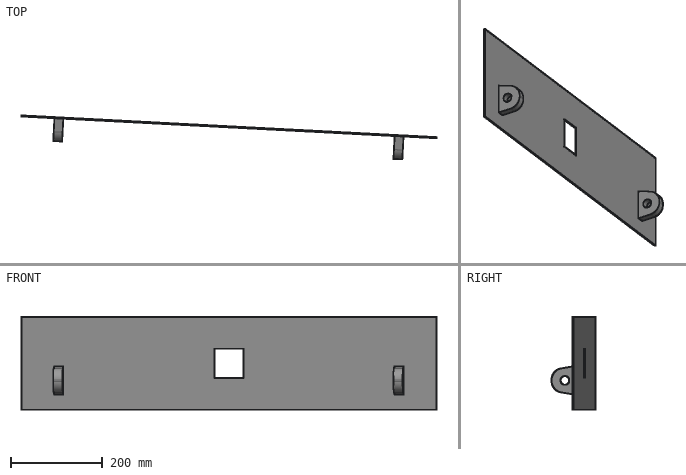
import cadquery as cq
import math

tilt = 3.0
plate_thickness = 3.0
plate_height = 203.0
overall_x = 907.0
tilt_rad = math.radians(tilt)
plate_length = (overall_x - plate_thickness * math.sin(tilt_rad)) / math.cos(tilt_rad)
window_size = 63.5

lug_spacing = 744.0
lug_width = 20.0
lug_reach = 50.0
lug_base_height = 63.0
lug_tip_radius = 25.0
lug_tip_flat = 3.0
lug_center_height = 64.0
hole_diameter = 19.0
hole_offset = 21.0

front_y = -plate_thickness / 2
lug_z = lug_center_height - plate_height / 2


def make_plate():
    plate = cq.Workplane("XY").box(plate_length, plate_thickness, plate_height)
    window = cq.Workplane("XY").box(window_size, 2 * plate_thickness, window_size)
    return plate.cut(window)


def make_lug(x):
    half_base = lug_base_height / 2
    half_flat = lug_tip_flat / 2
    tip_y = front_y - lug_reach
    arc_y = tip_y + lug_tip_radius
    corner_run = front_y - arc_y
    corner_rise = half_base - half_flat
    corner_distance = math.hypot(corner_run, corner_rise)
    tangent_angle = math.atan2(corner_rise, corner_run) + math.acos(lug_tip_radius / corner_distance)
    mid_angle = (tangent_angle + math.pi) / 2

    def arc_point(angle, side):
        y = arc_y + lug_tip_radius * math.cos(angle)
        rise = half_flat + lug_tip_radius * math.sin(angle)
        return (y, lug_z + side * rise)

    return (
        cq.Workplane("YZ", origin=(x - lug_width / 2, 0, 0))
        .moveTo(0, lug_z - half_base)
        .lineTo(front_y, lug_z - half_base)
        .lineTo(*arc_point(tangent_angle, -1))
        .threePointArc(arc_point(mid_angle, -1), arc_point(math.pi, -1))
        .lineTo(tip_y, lug_z + half_flat)
        .threePointArc(arc_point(mid_angle, 1), arc_point(tangent_angle, 1))
        .lineTo(front_y, lug_z + half_base)
        .lineTo(0, lug_z + half_base)
        .close()
        .moveTo(front_y - hole_offset, lug_z)
        .circle(hole_diameter / 2)
        .extrude(lug_width)
    )


part = make_plate()
for side in (-1, 1):
    part = part.union(make_lug(side * lug_spacing / 2))

result = part.rotate((0, 0, 0), (0, 0, 1), -tilt)